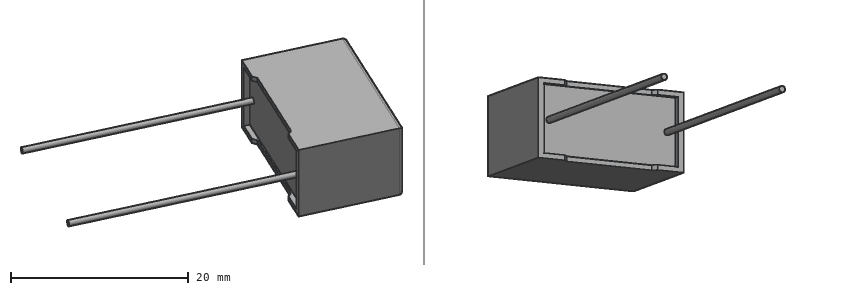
import cadquery as cq

total_length = 39.6
case_width = 18.5
case_length = 12.6
case_height = 9.23
back_edge_radius = 0.5

side_wall = 0.7
top_wall = 0.6
back_wall = side_wall
fill_recess = 0.7

notch_outer_width = 11.8
notch_depth = 0.48
notch_inner_width = notch_outer_width - 2 * notch_depth

lead_pitch = 15.0
lead_diameter = 0.75

cavity_width = case_width - 2 * side_wall
cavity_height = case_height - 2 * top_wall
cavity_length = case_length - back_wall
fill_length = cavity_length - fill_recess
lead_tip_y = case_length - total_length
lead_length = fill_recess - lead_tip_y


def block(width, length, height, front_y):
    """Box centred on X and Z that runs from front_y towards +Y."""
    return cq.Workplane("XY").box(width, length, height, centered=(True, False, True)).translate((0, front_y, 0))


def make_notch_cutter():
    """Trapezoid that cuts both the upper and the lower rim."""
    return (
        cq.Workplane("XY")
        .moveTo(-notch_outer_width / 2, 0)
        .lineTo(-notch_inner_width / 2, notch_depth)
        .lineTo(notch_inner_width / 2, notch_depth)
        .lineTo(notch_outer_width / 2, 0)
        .close()
        .extrude(case_height / 2, both=True)
    )


def make_case():
    """Box with rounded back edges, an open cavity and notched rims."""
    outer = block(case_width, case_length, case_height, 0).faces(">Y").edges().fillet(back_edge_radius)
    cavity = block(cavity_width, cavity_length, cavity_height, 0)
    return outer.cut(cavity).cut(make_notch_cutter())


def make_fill():
    """Potting block that fills the cavity up to the recess."""
    return block(cavity_width, fill_length, cavity_height, fill_recess)


def make_lead(x):
    """Straight round wire standing on the face of the fill."""
    return (
        cq.Workplane("XZ", origin=(x, fill_recess, 0))
        .circle(lead_diameter / 2)
        .extrude(lead_length)
    )


case = make_case()
fill = make_fill()
leads = [make_lead(side * lead_pitch / 2) for side in (-1, 1)]

result = cq.Compound.makeCompound([case.val(), fill.val(), *[lead.val() for lead in leads]])